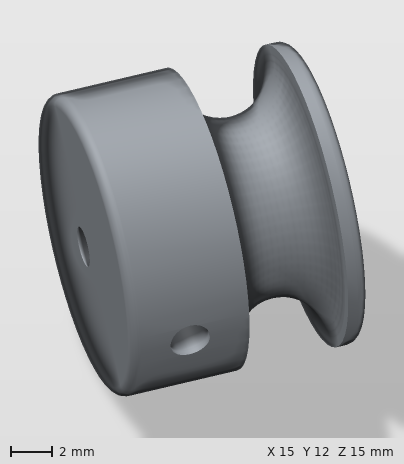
import cadquery as cq

outer_diameter = 15.0
length = 12.0
bore_diameter = 2.0
set_screw_diameter = bore_diameter
edge_radius = 0.5
hub_length = 6.0
groove_width = 5.0
groove_depth = 3.0

outer_radius = outer_diameter / 2
bore_radius = bore_diameter / 2
front_y = -length / 2
groove_start_y = front_y + hub_length
groove_end_y = groove_start_y + groove_width
groove_radius = groove_width / 2
groove_floor_radius = outer_radius - groove_depth
groove_center_radius = groove_floor_radius + groove_radius

wheel = (
    cq.Workplane("XY")
    .moveTo(bore_radius, front_y)
    .lineTo(outer_radius, front_y)
    .lineTo(outer_radius, groove_start_y)
    .lineTo(groove_center_radius, groove_start_y)
    .threePointArc(
        (groove_floor_radius, groove_start_y + groove_radius),
        (groove_center_radius, groove_end_y),
    )
    .lineTo(outer_radius, groove_end_y)
    .lineTo(outer_radius, front_y + length)
    .lineTo(bore_radius, front_y + length)
    .close()
    .revolve(360, (0, 0, 0), (0, 1, 0))
)

rims = wheel.faces("<Y or >Y").edges(cq.selectors.RadiusNthSelector(-1))
wheel = rims.fillet(edge_radius)

set_screw_y = front_y + hub_length / 2
set_screw_hole = (
    cq.Workplane("YZ")
    .center(set_screw_y, 0)
    .circle(set_screw_diameter / 2)
    .extrude(outer_diameter)
)
result = wheel.cut(set_screw_hole)